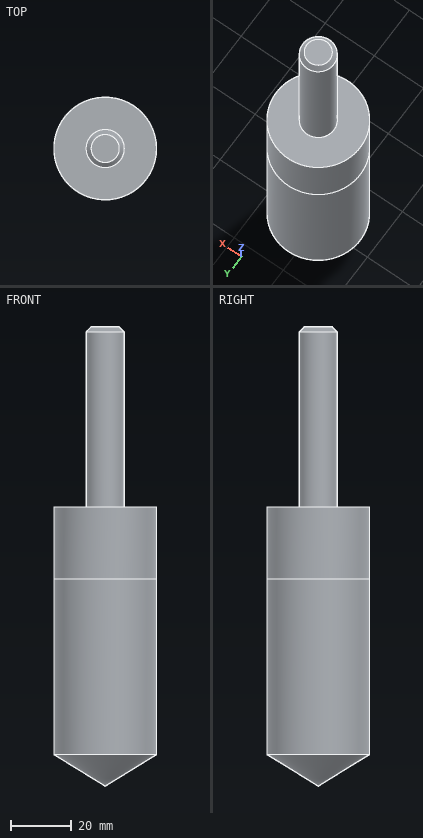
import cadquery as cq

total_height = 152.4
barrel_diameter = 34.1
cone_height = 10.5
joint_height = 68.7
shoulder_height = 92.7
shank_diameter = 12.6
shank_chamfer = 1.7

barrel_radius = barrel_diameter / 2
shank_radius = shank_diameter / 2


def make_tip():
    """Lower body: a cylinder ending in a downward cone."""
    profile = (
        cq.Workplane("XZ")
        .moveTo(0, 0)
        .lineTo(barrel_radius, cone_height)
        .lineTo(barrel_radius, joint_height)
        .lineTo(0, joint_height)
        .close()
    )
    return profile.revolve(360, (0, 0, 0), (0, 1, 0))


def make_shank():
    """Upper body: a collar seated on the tip, with a slender chamfered shank above it."""
    collar = (
        cq.Workplane("XY", origin=(0, 0, joint_height))
        .circle(barrel_radius)
        .extrude(shoulder_height - joint_height)
    )
    shank = (
        cq.Workplane("XY", origin=(0, 0, shoulder_height))
        .circle(shank_radius)
        .extrude(total_height - shoulder_height)
        .faces(">Z")
        .chamfer(shank_chamfer)
    )
    return collar.union(shank)


tip = make_tip()
shank = make_shank()

result = cq.Compound.makeCompound([tip.val(), shank.val()])